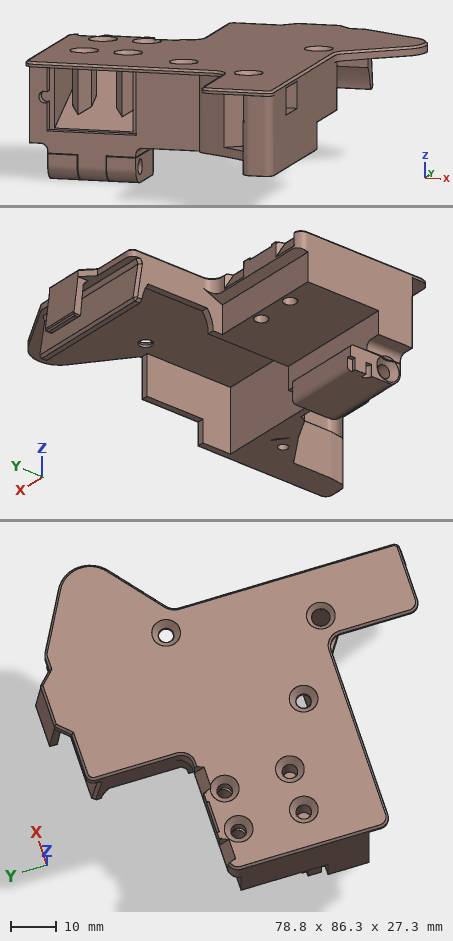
import cadquery as cq
import math

top_z = 19.0
rim_thickness = 1.1
rim_z = top_z - rim_thickness
cover_thickness = 2.1
cover_z = top_z - cover_thickness
edge_chamfer = 0.5

plate_front = 21.8
plate_back = 58.85
rear_edge = 82.2
step_x = 29.8
leg_left = 46.3
right_x = 62.9
bump_back = 85.2
part_back = 86.3

body_front = 26.9
body_back = 56.4
mid_y = 36.4
mid_z = 6.0
arch_z = 11.2
wall = 1.7
right_wall_end = 52.2

screw_d = 3.4
sink_d = 6.3
left_screw_x = (9.1, 19.1)
front_screw_y = 39.1
back_screw_y = 54.1
through_screws = [(34.0, 31.15), (58.0, 55.15)] + [(x, back_screw_y) for x in left_screw_x]
tab_screw = (51.5, 21.6)
tab_clearance_d = 4.0
tab_hole_d = 2.5

wall_left = 55.5
tab_start = (45.8, 21.8)
tab_z = 2.1


def box(x, y, z):
    """Box given by its (low, high) limits along each axis."""
    size = (x[1] - x[0], y[1] - y[0], z[1] - z[0])
    return cq.Workplane("XY").box(*size, centered=False).translate((x[0], y[0], z[0]))


def along_x(points, x):
    """Prism of a closed (Y, Z) outline between two X positions."""
    return cq.Workplane("YZ").workplane(offset=x[0]).polyline(points).close().extrude(x[1] - x[0])


nose_tip = (84.5, 69.3)
nose_radius = 7.1
plate_corners = [
    (0, plate_front, 2.5),
    (leg_left, plate_front, 3.1),
    (leg_left, 0.2, 2.5),
    (right_x, 0.2, 1.2),
    (right_x, right_wall_end, 3.45),
    (*nose_tip, nose_radius),
    (61.2, rear_edge, 2.6),
    (57.65, rear_edge, 0),
    (54.6, bump_back, 0),
    (44.6, bump_back, 0),
    (41.6, rear_edge, 0),
    (step_x, rear_edge, 1.7),
    (step_x, plate_back, 2.8),
    (0, plate_back, plate_back - body_back),
]


def plate(thickness):
    slab = (
        cq.Workplane("XY").workplane(offset=top_z - thickness)
        .polyline([(x, y) for x, y, _ in plate_corners]).close()
        .extrude(thickness)
    )
    near = 0.1
    for x, y, radius in plate_corners:
        if radius:
            corner = cq.selectors.BoxSelector((x - near, y - near, 0), (x + near, y + near, 2 * top_z))
            slab = slab.edges("|Z").edges(corner).fillet(radius)
    return slab


notch_x = [(1.9, 8.1), (19.4, 26.1)]
edge_relief_x = (9.75, 17.3)


def cover():
    thick_front = 50.05
    behind = box((step_x, nose_tip[0]), (thick_front, part_back), (cover_z, rim_z))
    thick = plate(cover_thickness).intersect(behind)
    rim = plate(rim_thickness).faces(">Z").chamfer(edge_chamfer)
    for x in ((notch_x[0][1], edge_relief_x[0]), (edge_relief_x[1], notch_x[1][0])):
        rim = rim.union(box(x, (body_back, plate_back), (rim_z, top_z)))
    return rim.union(thick)


def front_housing():
    """Full-height front: left wall, screw corner and leg."""
    lead_end = (38.75, body_front)
    lead_mid = (39.35, 25.6)
    lead_out = (40.6, 24.7)
    corner_radius = wall_left - tab_screw[0]
    diagonal = corner_radius * math.sqrt(0.5)
    lead_in = 2.1
    arc_start = (tab_screw[0] - lead_in, tab_screw[1] + math.sqrt(corner_radius**2 - lead_in**2))
    slant = 2.6
    return (
        cq.Workplane("XY")
        .moveTo(0, body_front)
        .lineTo(*lead_end)
        .threePointArc(lead_mid, lead_out)
        .lineTo(*tab_start)
        .lineTo(arc_start[0] - slant, arc_start[1] - slant)
        .lineTo(*arc_start)
        .threePointArc((tab_screw[0] + diagonal, tab_screw[1] + diagonal), (wall_left, tab_screw[1]))
        .lineTo(wall_left, 4.8)
        .lineTo(55.9, 2.25)
        .threePointArc((56.4, 0.7), (57.7, 0))
        .lineTo(right_x - 1.7, 0)
        .radiusArc((right_x, 1.7), -1.7)
        .lineTo(right_x, mid_y)
        .lineTo(0, mid_y)
        .close()
        .extrude(rim_z)
    )


def screw_tab():
    """Low triangular shelf in the corner between the front wall and the leg."""
    back = tab_screw[1] + 4.3
    overlap = 0.9
    outline = [tab_start, (wall_left, 15.45), (wall_left + overlap, back), (tab_screw[0], back)]
    return cq.Workplane("XY").polyline(outline).close().extrude(tab_z)


def rear_housing():
    """Right block with an arched underside and a leaning catch along its back."""
    block = (
        cq.Workplane("YZ").workplane(offset=step_x)
        .moveTo(mid_y, rim_z)
        .lineTo(mid_y, mid_z)
        .lineTo(59.0, mid_z)
        .threePointArc((59.5, 8.8), (60.75, arch_z))
        .lineTo(77.3, arch_z)
        .threePointArc((78.6, 8.8), (79.2, mid_z))
        .lineTo(80.6, mid_z)
        .lineTo(81.1, 6.7)
        .lineTo(79.7, 15.7)
        .lineTo(80.3, cover_z)
        .lineTo(80.3, rim_z)
        .close()
        .extrude(right_x - step_x)
    )
    leaning_edge = cq.selectors.BoxSelector((step_x - 0.9, 79.9, mid_z), (step_x + 0.9, 80.95, cover_z))
    return block.edges(leaning_edge).chamfer(0.7)


def back_lip():
    """Lip behind the left block that follows the plate outline and has a sloping underside."""
    lip_back = plate_back + 2.8
    side = along_x(
        [(body_back, 13.55), (lip_back, 15.8), (lip_back, rim_z), (body_back, rim_z)],
        (0, step_x + wall),
    )
    return plate(top_z).intersect(side)


def underside_hollow():
    """Hollow of the right half, open below and, behind the right wall, to the right."""
    hollow_x = step_x + wall
    front = box((hollow_x, right_x - wall), (body_front + wall, right_wall_end), (0, cover_z))
    back = box((hollow_x, right_x), (right_wall_end, 77.3), (0, cover_z))
    return front.union(back)


def back_clip():
    """Leaning clip hanging from the back bump of the plate."""
    clip_bottom = 7.0
    outline = [
        (bump_back - 0.2, top_z - edge_chamfer),
        (part_back, 7.8),
        (part_back - 0.2, clip_bottom),
        (part_back - 1.8, clip_bottom),
        (part_back - 2.6, 15.4),
        (part_back - 4.0, cover_z),
        (part_back - 4.0, rim_z),
    ]
    return along_x(outline, (44.6, 54.6)).faces("<Z").chamfer(0.35)


hinge_x = (4.1, 24.25)
knuckle_x = (11.0, 17.5)
hinge_top = -2.25
hinge_bottom = -8.3
hinge_radius = 3.5
hinge_axis = (body_front + hinge_radius, hinge_bottom + hinge_radius)
hinge_back = 41.1


def hinge():
    length = hinge_x[1] - hinge_x[0]
    neck = box(hinge_x, (body_front, mid_y), (hinge_axis[1], 0))
    arm = box(hinge_x, (body_front, hinge_back), (hinge_bottom, hinge_top))
    arm = arm.edges("|X and <Y and <Z").fillet(hinge_radius)
    arm = arm.edges("|X and >Y").fillet(0.95)
    body = neck.union(arm)

    flare = 1.55
    for x, side in ((hinge_x[0], -1), (hinge_x[1], 1)):
        corner = sorted((x, x + side * flare))
        block = box(corner, (body_front, mid_y), (-flare, 0))
        round_cut = (
            cq.Workplane("XZ").center(x + side * flare, -flare)
            .circle(flare).extrude(-2 * mid_y)
        )
        body = body.union(block.cut(round_cut))

    slit = 0.2
    for x in ((hinge_x[0], knuckle_x[0]), (knuckle_x[1], hinge_x[1])):
        body = body.cut(box(x, (body_front, mid_y), (hinge_top, hinge_top + slit)))
    for x in knuckle_x:
        cut_x = (x - slit / 2, x + slit / 2)
        body = body.cut(box(cut_x, (body_front, hinge_axis[0] - screw_d / 2), (hinge_bottom, hinge_top)))

    sink_depth = (sink_d - screw_d) / 2
    pin = cq.Workplane("YZ").center(*hinge_axis).circle(screw_d / 2).extrude(length)
    sink = (
        cq.Workplane("YZ").center(*hinge_axis).circle(sink_d / 2)
        .workplane(offset=sink_depth).circle(screw_d / 2).loft()
    )
    body = body.cut(pin.union(sink).translate((hinge_x[0], 0, 0)))

    groove_top = -5.3
    groove_depth = 1.0
    groove_radius = 1.55
    step = box((hinge_x[0], hinge_x[0] + groove_depth), (39.7, hinge_back), (hinge_bottom, groove_top))
    groove = (
        cq.Workplane("XY", origin=(hinge_x[0], mid_y + 0.2, hinge_bottom))
        .lineTo(groove_radius, 0)
        .radiusArc((0, -groove_radius), groove_radius)
        .close().extrude(groove_top - hinge_bottom)
    )
    body = body.cut(step).cut(groove)
    return body


recess_x = (4.0, 24.3)
recess_bottom = 2.85
recess_depth = 2.1
cavity_x = (5.2, 23.0)
cavity_bottom = 3.2
cavity_front = body_front + recess_depth
wedge_tip = (55.75, 15.0)


def front_window():
    """Stepped window leading into a wedge-shaped cavity with two pointed screw posts."""
    recess = box(recess_x, (body_front, cavity_front), (recess_bottom, rim_z))
    side_notch = (
        cq.Workplane("XZ", origin=(3.45, body_front, 10.35))
        .circle(1.3).extrude(-recess_depth)
    )
    cavity = along_x(
        [(cavity_front, cavity_bottom), wedge_tip, (cavity_front, cover_z)],
        cavity_x,
    )
    post_half = 2.2
    post_tip = 34.2
    post_nose = 3.1
    post_back = front_screw_y + post_half
    for x in left_screw_x:
        post = (
            cq.Workplane("XY")
            .polyline([
                (x, post_tip),
                (x + post_half, post_tip + post_nose),
                (x + post_half, post_back),
                (x - post_half, post_back),
                (x - post_half, post_tip + post_nose),
            ]).close().extrude(rim_z)
        )
        cavity = cavity.cut(post)
    return recess.union(side_notch).union(cavity)


def leg_slot():
    """Side slot in the leg wall, open on the far side only in its rear part."""
    slot_z = (11.8, rim_z)
    outer_wall = 3.5
    slot_y = (0.95, 20.4)
    open_y = 11.6
    pocket = box((leg_left, right_x - outer_wall), slot_y, slot_z)
    pocket = pocket.edges("|Z and >X and <Y").fillet(2.1)
    opening = box((leg_left, right_x), (open_y, slot_y[1]), slot_z)
    return pocket.union(opening)


def rear_notches():
    """Tapered, sloping finger notches in the back edge of the left half of the plate."""
    notch_front = 56.9
    notch_drop = 3.9
    notch_taper = 0.8
    profile = [(notch_front, top_z), (plate_back, top_z), (plate_back, top_z - notch_drop)]
    slope = along_x(profile, (0, step_x))
    notches = cq.Workplane("XY")
    for left, right in notch_x:
        outline = [
            (left, plate_back),
            (right, plate_back),
            (right - notch_taper, notch_front),
            (left + notch_taper, notch_front),
        ]
        notches = notches.union(cq.Workplane("XY").polyline(outline).close().extrude(top_z))
    return slope.intersect(notches)


def screw_hole(x, y, diameter, bottom):
    """Vertical hole from the top face with a 90 degree countersink."""
    depth = (sink_d - diameter) / 2
    hole = cq.Workplane("XY", origin=(x, y, bottom)).circle(diameter / 2).extrude(top_z - bottom)
    sink = (
        cq.Workplane("XY", origin=(x, y, top_z)).circle(sink_d / 2)
        .workplane(offset=-depth).circle(diameter / 2).loft()
    )
    return hole.union(sink)


result = cover()
result = result.union(front_housing())
result = result.union(box((0, right_x), (mid_y, body_back), (mid_z, rim_z)))
result = result.union(rear_housing())
result = result.union(screw_tab())
result = result.union(back_lip())
result = result.union(back_clip())
result = result.union(hinge())

result = result.cut(underside_hollow())
result = result.cut(front_window())
result = result.cut(leg_slot())
result = result.cut(rear_notches())

blind_bottom = 12.95
for x, y in through_screws:
    result = result.cut(screw_hole(x, y, screw_d, 0))
for x in left_screw_x:
    result = result.cut(screw_hole(x, front_screw_y, screw_d, blind_bottom))
result = result.cut(screw_hole(*tab_screw, tab_clearance_d, tab_z))
result = result.cut(cq.Workplane("XY").center(*tab_screw).circle(tab_hole_d / 2).extrude(tab_z))